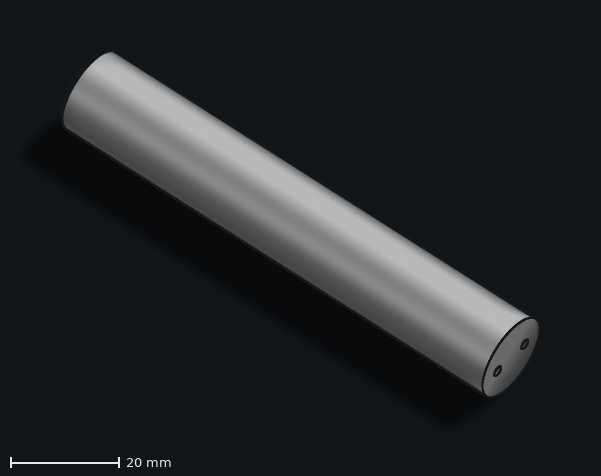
import cadquery as cq
import math

length = 100.0
diameter = 17.0
chamfer = 0.8
channel_diameter = 2.0
channel_spacing = 8.0
helix_angle = 30.0

lead = math.pi * diameter / math.tan(math.radians(helix_angle))
twist = 360.0 * length / lead
start_angle = -twist


def make_rod():
    """Plain cylinder with a chamfer around its -X end."""
    rod = cq.Workplane("YZ").circle(diameter / 2).extrude(length)
    return rod.faces("<X").edges().chamfer(chamfer)


def make_channel(angle):
    """Helical channel whose centre starts at the given angle from Y in the -X face."""
    radius = channel_spacing / 2
    y = radius * math.cos(math.radians(angle))
    z = radius * math.sin(math.radians(angle))
    section = cq.Workplane("YZ").center(y, z).circle(channel_diameter / 2)
    return section.center(-y, -z).twistExtrude(length, twist)


result = make_rod()
for offset in (0.0, 180.0):
    result = result.cut(make_channel(start_angle + offset))